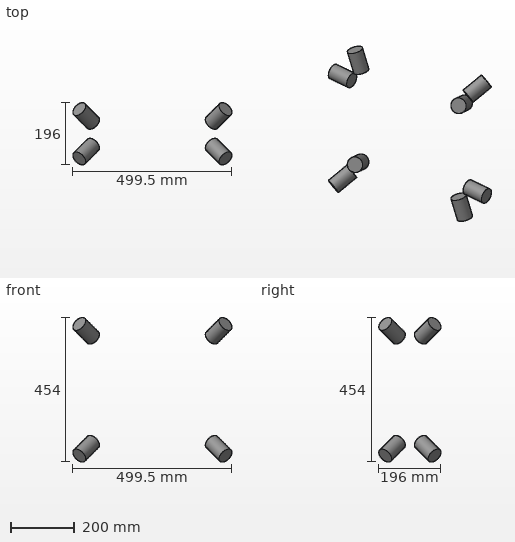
import cadquery as cq
import math

overall_x = 499.5
overall_y = 196.0
overall_z = 454.0

pin_diameter = 50.0
pin_length = 75.0

axis_cosine = 1 / math.sqrt(3)
axis_sine = math.sqrt(1 - axis_cosine**2)
pin_span = pin_length * axis_cosine + pin_diameter * axis_sine

center_x = (overall_x - pin_span) / 2
center_y = (overall_y - pin_span) / 2
center_z = (overall_z - pin_span) / 2


def make_pin(side_x, side_y, side_z):
    """One pin in the octant given by the signs, pointing diagonally outward."""
    center = cq.Vector(side_x * center_x, side_y * center_y, side_z * center_z)
    direction = cq.Vector(side_x, side_y, side_z).normalized()
    inner_end = center - direction * (pin_length / 2)
    return cq.Solid.makeCylinder(pin_diameter / 2, pin_length, inner_end, direction)


sides = (-1, 1)
pins = [make_pin(sx, sy, sz) for sx in sides for sy in sides for sz in sides]

result = cq.Compound.makeCompound(pins)